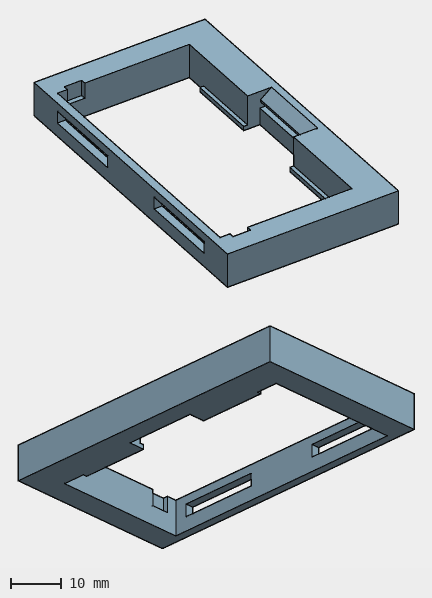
import cadquery as cq

length = 70.0
width = 40.0
height = 8.0

side_wall = 5.6
front_wall = 1.9
back_wall = 7.3

recess_length = 16.65
slope_start = 1.7
slope_end = 4.3
recess_back_wall = 4.4
slope_drop = 2.0
lip_thickness = 0.5
groove_height = 1.5
groove_back_wall = 2.8

ledge_length = 15.9
ledge_depth = 0.9
ledge_height = 1.05

slot_length = 18.05
slot_height = 2.8
slot_bottom = 3.2
slot_offset = 17.5

notch_depth = 1.1
notch_length = 4.05
notch_height = 3.65
notch_from_front = 4.2

half_length = length / 2
front = -width / 2
back = width / 2
window_back = back - back_wall
window_half = half_length - side_wall


def box(x_min, x_max, y_min, y_max, z_min, z_max):
    """Block between opposite corner coordinates."""
    return cq.Workplane("XY").box(
        x_max - x_min, y_max - y_min, z_max - z_min, centered=False
    ).translate((x_min, y_min, z_min))


def recess_cutter():
    """Space in front of the recess profile: sloped lip, groove below it, then a plain wall."""
    lip_top = height - slope_drop
    lip_bottom = lip_top - lip_thickness
    groove_bottom = lip_bottom - groove_height
    profile = [
        (window_back - ledge_depth, 0),
        (back - recess_back_wall, 0),
        (back - recess_back_wall, groove_bottom),
        (back - groove_back_wall, groove_bottom),
        (back - groove_back_wall, lip_bottom),
        (back - slope_end, lip_bottom),
        (back - slope_end, lip_top),
        (back - slope_start, height),
        (window_back - ledge_depth, height),
    ]
    return (
        cq.Workplane("YZ")
        .polyline(profile)
        .close()
        .extrude(recess_length / 2, both=True)
    )


frame = box(-half_length, half_length, front, back, 0, height)
window = box(-window_half, window_half, front + front_wall, window_back, 0, height)
result = frame.cut(window)

ledge_half = recess_length / 2 + ledge_length
result = result.union(
    box(-ledge_half, ledge_half, window_back - ledge_depth, window_back, 0, ledge_height)
)
result = result.cut(recess_cutter())

notch_front = front + notch_from_front
for side in (-1, 1):
    slot_middle = side * slot_offset
    result = result.cut(
        box(
            slot_middle - slot_length / 2, slot_middle + slot_length / 2,
            front, front + front_wall,
            slot_bottom, slot_bottom + slot_height,
        )
    )
    notch_edges = sorted((side * window_half, side * (window_half + notch_depth)))
    result = result.cut(
        box(
            notch_edges[0], notch_edges[1],
            notch_front, notch_front + notch_length,
            height - notch_height, height,
        )
    )